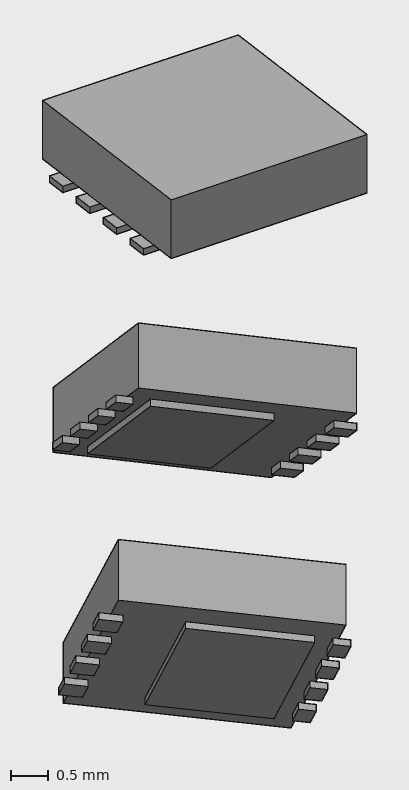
import cadquery as cq

overall_length = 3.43
overall_height = 1.0
housing_side = 3.1

layer_thickness = 0.1
leads_per_row = 4
lead_pitch = 0.648
front_lead_width = 0.325
front_lead_length = 0.325
rear_lead_width = 0.35
rear_lead_length = 0.245
pad_length = 1.755
pad_rear_inset = 0.495

rear_tip_y = overall_length / 2
front_tip_y = -overall_length / 2
first_lead_x = -lead_pitch * (leads_per_row - 1) / 2
pad_width = lead_pitch * (leads_per_row - 1) + rear_lead_width


def make_block(size_x, size_y, size_z, center_x, center_y, bottom_z):
    """Rectangular block standing on the height bottom_z."""
    block = cq.Workplane("XY").box(size_x, size_y, size_z, centered=(True, True, False))
    return block.translate((center_x, center_y, bottom_z))


def make_housing():
    housing_height = overall_height - layer_thickness
    return make_block(housing_side, housing_side, housing_height, 0, 0, layer_thickness)


def make_thermal_pad():
    center_y = rear_tip_y - pad_rear_inset - pad_length / 2
    return make_block(pad_width, pad_length, layer_thickness, 0, center_y, 0)


def make_lead_row(lead_width, lead_length, center_y):
    """One row of separate leads, evenly spaced along X."""
    leads = []
    for index in range(leads_per_row):
        center_x = first_lead_x + index * lead_pitch
        lead = make_block(lead_width, lead_length, layer_thickness, center_x, center_y, 0)
        leads.append(lead.val())
    return leads


housing = make_housing()
thermal_pad = make_thermal_pad()
front_leads = make_lead_row(front_lead_width, front_lead_length, front_tip_y + front_lead_length / 2)
rear_leads = make_lead_row(rear_lead_width, rear_lead_length, rear_tip_y - rear_lead_length / 2)

result = cq.Compound.makeCompound([housing.val(), thermal_pad.val(), *front_leads, *rear_leads])